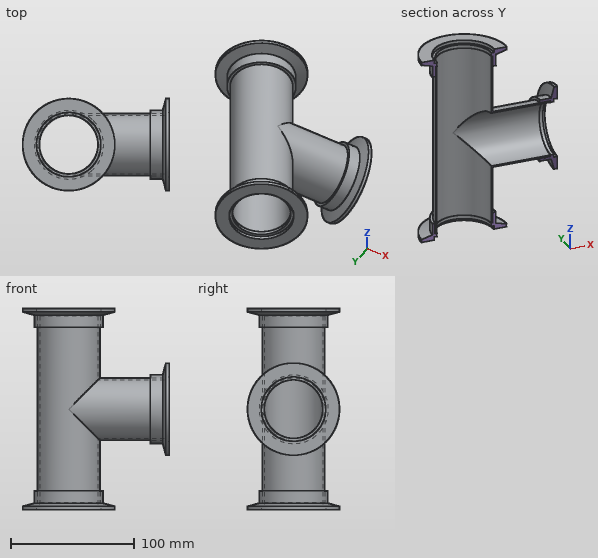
import cadquery as cq

run_length = 163.8
face_distance = run_length / 2

tube_diameter = 51.0
bore_diameter = 47.5

flange_diameter = 75.0
hub_diameter = 56.0
rim_thickness = 3.0
taper_depth = 5.5
flange_length = 15.5
recess_diameter = 52.5
recess_depth = 3.0
tube_setback = 6.0

tube_reach = face_distance - tube_setback


def tee_cylinders(diameter):
    """Run and branch cylinders of one diameter, joined at the axis crossing."""
    radius = diameter / 2
    run = cq.Workplane("XY").circle(radius).extrude(tube_reach, both=True)
    branch = cq.Workplane("YZ").circle(radius).extrude(tube_reach)
    return run.union(branch)


def make_tee_tube():
    return tee_cylinders(tube_diameter).cut(tee_cylinders(bore_diameter))


def make_flange():
    """Flange on the +Z end of the run, with a face recess and a tube socket."""
    rim_radius = flange_diameter / 2
    hub_radius = hub_diameter / 2
    bore_radius = bore_diameter / 2
    recess_radius = recess_diameter / 2
    socket_radius = tube_diameter / 2
    face_z = face_distance
    recess_z = face_z - recess_depth
    hub_end_z = face_z - flange_length
    profile = [
        (recess_radius, face_z),
        (rim_radius, face_z),
        (rim_radius, face_z - rim_thickness),
        (hub_radius, face_z - taper_depth),
        (hub_radius, hub_end_z),
        (socket_radius, hub_end_z),
        (socket_radius, tube_reach),
        (bore_radius, tube_reach),
        (bore_radius, recess_z),
        (recess_radius, recess_z),
    ]
    return cq.Workplane("XZ").polyline(profile).close().revolve(360, (0, 0, 0), (0, 1, 0))


tee_tube = make_tee_tube()

flanges = []
for angle in (0, 90, 180):
    flanges.append(make_flange().rotate((0, 0, 0), (0, 1, 0), angle))

result = cq.Compound.makeCompound([tee_tube.val(), *[flange.val() for flange in flanges]])